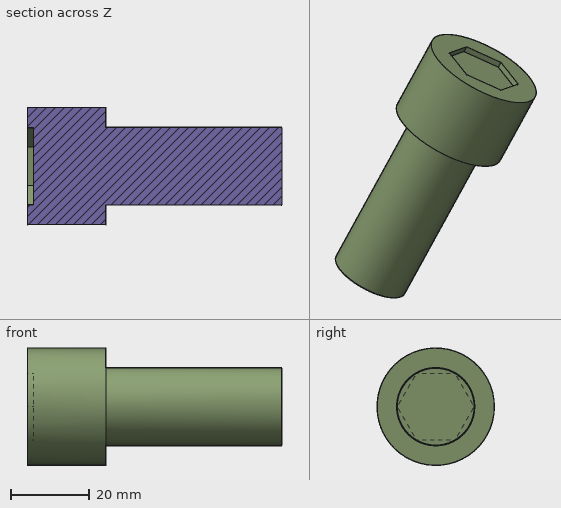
import cadquery as cq
import math

head_diameter = 30.0
head_height = 20.0
shank_diameter = 20.0
shank_length = 45.0
tip_chamfer = 0.2
socket_across_flats = 17.0
socket_depth = 1.5

socket_across_corners = socket_across_flats / math.cos(math.radians(30))


def make_head():
    return cq.Workplane("YZ").circle(head_diameter / 2).extrude(head_height)


def make_shank():
    shank = (
        cq.Workplane("YZ")
        .workplane(offset=head_height)
        .circle(shank_diameter / 2)
        .extrude(shank_length)
    )
    return shank.faces(">X").chamfer(tip_chamfer)


def make_socket():
    return cq.Workplane("YZ").polygon(6, socket_across_corners).extrude(socket_depth)


result = make_head().union(make_shank()).cut(make_socket())